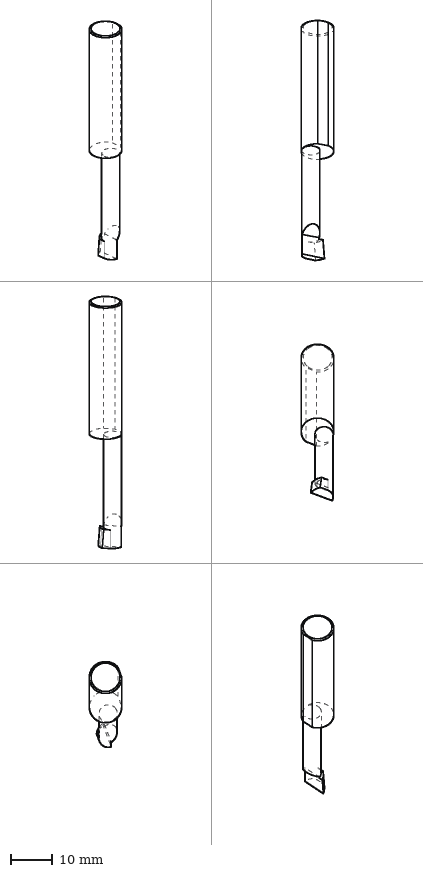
import cadquery as cq

total_length = 63.5
shank_diameter = 7.95
shank_radius = shank_diameter / 2
shank_length = 34.3
shank_chamfer_width = 0.45
shank_chamfer_height = 0.25
flat_depth = 0.25

neck_diameter = 4.45
neck_radius = neck_diameter / 2
neck_x = shank_radius - neck_radius

relief_top = 5.5

head_top = 5.15
head_lean = 0.4
tip_x = -1.45
flank_x, flank_y = -0.65, -1.5
flank_bulge = 0.05
heel_x = 0.05

end_slope_x = 0.03
end_slope_y = 0.1


def make_shank():
    shank = (
        cq.Workplane("XY", origin=(0, 0, total_length - shank_length))
        .circle(shank_radius)
        .extrude(shank_length)
    )
    shank = shank.faces(">Z").edges().chamfer(shank_chamfer_height, shank_chamfer_width)
    flat_cutter = cq.Workplane("XY").box(
        shank_diameter, shank_diameter, total_length, centered=(True, False, False)
    )
    return shank.cut(flat_cutter.translate((0, shank_radius - flat_depth, 0)))


def make_neck():
    """Round neck cut to half its section near the tip, with a 45 degree run-out."""
    neck = (
        cq.Workplane("XY")
        .center(neck_x, 0)
        .circle(neck_radius)
        .extrude(total_length - shank_length)
    )
    relief = (
        cq.Workplane("YZ")
        .polyline([
            (0, 0),
            (neck_diameter, 0),
            (neck_diameter, relief_top + neck_diameter),
            (0, relief_top),
        ])
        .close()
        .extrude(shank_diameter, both=True)
    )
    return neck.cut(relief)


def head_outline(height, lean):
    """Head section at one height, with its cutting side moved toward -X by lean."""
    return (
        cq.Workplane("XY", origin=(0, 0, height))
        .moveTo(neck_x, 0)
        .lineTo(tip_x - lean, 0)
        .sagittaArc((flank_x - lean, flank_y), -flank_bulge)
        .lineTo(heel_x - lean, -neck_radius)
        .lineTo(neck_x, -neck_radius)
        .close()
        .wire()
        .val()
    )


def make_head():
    base = head_outline(0, head_lean)
    top = head_outline(head_top, 0)
    return cq.Workplane(cq.Solid.makeLoft([base, top], True))


def make_end_cutter():
    """Block below the end face, which passes through the tip and rises away from it."""
    end_plane = cq.Plane(
        origin=(tip_x - head_lean, 0, 0),
        xDir=(1, 0, end_slope_x),
        normal=(-end_slope_x, end_slope_y, 1),
    )
    return cq.Workplane(end_plane).rect(total_length, total_length).extrude(-shank_diameter)


tip = make_neck().union(make_head()).cut(make_end_cutter())
result = make_shank().union(tip)